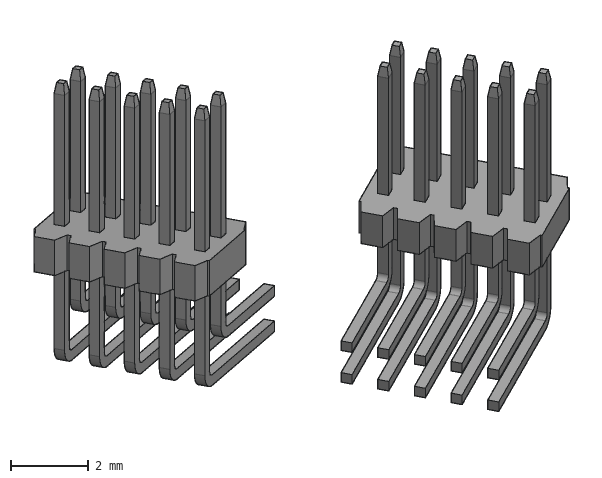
import cadquery as cq

BODY_LENGTH = 5.0
OVERALL_DEPTH = 5.27
OVERALL_HEIGHT = 7.95

COLUMNS = 5
PITCH = BODY_LENGTH / COLUMNS
ROW_OFFSET = PITCH / 2

BODY_DEPTH = 3.165
BODY_HEIGHT = PITCH
TOOTH_DEPTH = 0.445
TOOTH_TIP_WIDTH = 0.59
NOTCH_FLOOR_WIDTH = 0.1
TOOTH_ROOT_WIDTH = PITCH - NOTCH_FLOOR_WIDTH

PIN_WIDTH = 0.3
TIP_HEIGHT = 0.3
TIP_WIDTH = 0.2
BEND_INNER_RADIUS = 0.15
BEND_OUTER_RADIUS = BEND_INNER_RADIUS + PIN_WIDTH

PIN_ABOVE_BODY = 4.0
PIN_TOP = BODY_HEIGHT + PIN_ABOVE_BODY
SHOULDER = PIN_TOP - TIP_HEIGHT
LOWEST_TAIL = PIN_TOP - OVERALL_HEIGHT
TAIL_END = OVERALL_DEPTH - BODY_DEPTH / 2

COLUMN_POSITIONS = [(i - (COLUMNS - 1) / 2) * PITCH for i in range(COLUMNS)]


def make_tooth(x, side):
    """Trapezoidal tooth on the front (side = -1) or back (side = 1) of the body."""
    root_y = side * (BODY_DEPTH / 2 - TOOTH_DEPTH)
    tip_y = side * BODY_DEPTH / 2
    outline = [
        (x - TOOTH_ROOT_WIDTH / 2, root_y),
        (x - TOOTH_TIP_WIDTH / 2, tip_y),
        (x + TOOTH_TIP_WIDTH / 2, tip_y),
        (x + TOOTH_ROOT_WIDTH / 2, root_y),
    ]
    return cq.Workplane("XY").polyline(outline).close().extrude(BODY_HEIGHT)


def make_body():
    """Rectangular core with one tooth per column on both long sides."""
    core_depth = BODY_DEPTH - 2 * TOOTH_DEPTH
    body = cq.Workplane("XY").box(BODY_LENGTH, core_depth, BODY_HEIGHT, centered=(True, True, False))
    for x in COLUMN_POSITIONS:
        for side in (-1, 1):
            body = body.union(make_tooth(x, side))
    return body


def make_pin(x, y, tail_bottom):
    """Upright pin at (x, y), bent towards +Y, with its tail resting at tail_bottom."""
    front = y - PIN_WIDTH / 2
    back = y + PIN_WIDTH / 2
    tail_top = tail_bottom + PIN_WIDTH
    shank = (
        cq.Workplane("YZ", origin=(x, 0, 0))
        .moveTo(front, SHOULDER)
        .lineTo(front, tail_bottom + BEND_OUTER_RADIUS)
        .radiusArc((front + BEND_OUTER_RADIUS, tail_bottom), -BEND_OUTER_RADIUS)
        .lineTo(TAIL_END, tail_bottom)
        .lineTo(TAIL_END, tail_top)
        .lineTo(back + BEND_INNER_RADIUS, tail_top)
        .radiusArc((back, tail_top + BEND_INNER_RADIUS), BEND_INNER_RADIUS)
        .lineTo(back, SHOULDER)
        .close()
        .extrude(PIN_WIDTH / 2, both=True)
    )
    tip = (
        cq.Workplane("XY", origin=(x, y, SHOULDER))
        .rect(PIN_WIDTH, PIN_WIDTH)
        .workplane(offset=TIP_HEIGHT)
        .rect(TIP_WIDTH, TIP_WIDTH)
        .loft(ruled=True)
    )
    return shank.union(tip)


result = make_body()
for column_x in COLUMN_POSITIONS:
    result = result.union(make_pin(column_x, -ROW_OFFSET, LOWEST_TAIL))
    result = result.union(make_pin(column_x, ROW_OFFSET, LOWEST_TAIL + PITCH))